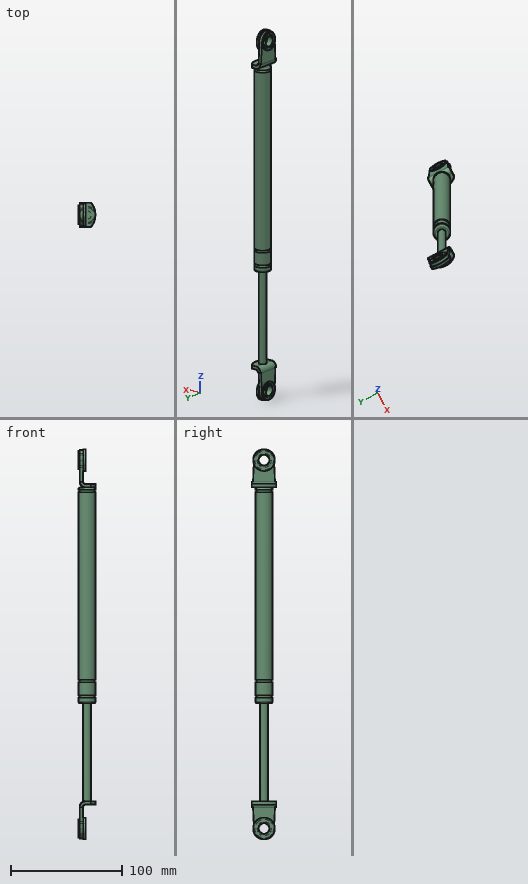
import cadquery as cq
import math

OVERALL_LENGTH = 350.0
TUBE_RADIUS = 7.7
ROD_RADIUS = 3.67

BORE_RADIUS = 4.72
SLEEVE_RADIUS = 6.3
OUTER_FLANGE_RADIUS = 8.5
INNER_FLANGE_RADIUS = 9.8
OUTER_FLANGE_THICKNESS = 1.0
INNER_FLANGE_THICKNESS = 2.5

SHEET = 3.0
BEND_INNER_RADIUS = 2.0
BEND_OUTER_RADIUS = BEND_INNER_RADIUS + SHEET
FOOT_WIDTH = 22.0
FOOT_ARC_START_X = 3.5
FOOT_TIP_X = TUBE_RADIUS
EYE_ROOT_WIDTH = 20.0
EYE_END_RADIUS = 9.0
PLATE_OUTER_X = OUTER_FLANGE_THICKNESS - TUBE_RADIUS
PLATE_INNER_X = PLATE_OUTER_X + SHEET
EYE_Z = OVERALL_LENGTH / 2 - INNER_FLANGE_RADIUS
FOOT_Z = 140.7
FOOT_TOP_Z = FOOT_Z + SHEET
BEND_TOP_Z = FOOT_Z + BEND_OUTER_RADIUS

TUBE_BOTTOM_Z = -53.0
END_ROUNDING = 1.7
GROOVE_RADIUS = 1.0
GROOVE_CENTRES_Z = (137.5, -33.0, -47.0)


def x_cylinder(radius, start_x, length):
    """Cylinder along +X on the eye axis."""
    return (
        cq.Workplane("YZ", origin=(start_x, 0, EYE_Z))
        .circle(radius)
        .extrude(length)
    )


def make_tube():
    tube = (
        cq.Workplane("XY", origin=(0, 0, TUBE_BOTTOM_Z))
        .circle(TUBE_RADIUS)
        .extrude(FOOT_Z - TUBE_BOTTOM_Z)
        .faces("<Z or >Z")
        .edges()
        .fillet(END_ROUNDING)
    )
    for groove_z in GROOVE_CENTRES_Z:
        ring = cq.Solid.makeTorus(TUBE_RADIUS, GROOVE_RADIUS, cq.Vector(0, 0, groove_z))
        tube = tube.cut(cq.Workplane(ring))
    return tube


def make_rod():
    return (
        cq.Workplane("XY", origin=(0, 0, -FOOT_Z))
        .circle(ROD_RADIUS)
        .extrude(TUBE_BOTTOM_Z + FOOT_Z)
    )


def make_foot():
    """Bend and foot at full width, with a bowed free edge."""
    bend_centre_x = PLATE_OUTER_X + BEND_OUTER_RADIUS
    diagonal = math.sqrt(0.5)
    bent_strip = (
        cq.Workplane("XZ")
        .moveTo(FOOT_TIP_X, FOOT_Z)
        .lineTo(bend_centre_x, FOOT_Z)
        .threePointArc(
            (bend_centre_x - BEND_OUTER_RADIUS * diagonal, BEND_TOP_Z - BEND_OUTER_RADIUS * diagonal),
            (PLATE_OUTER_X, BEND_TOP_Z),
        )
        .lineTo(PLATE_INNER_X, BEND_TOP_Z)
        .threePointArc(
            (bend_centre_x - BEND_INNER_RADIUS * diagonal, BEND_TOP_Z - BEND_INNER_RADIUS * diagonal),
            (bend_centre_x, FOOT_TOP_Z),
        )
        .lineTo(FOOT_TIP_X, FOOT_TOP_Z)
        .close()
        .extrude(FOOT_WIDTH / 2, both=True)
    )
    plan = (
        cq.Workplane("XY", origin=(0, 0, FOOT_Z))
        .moveTo(PLATE_OUTER_X, -FOOT_WIDTH / 2)
        .lineTo(FOOT_ARC_START_X, -FOOT_WIDTH / 2)
        .threePointArc((FOOT_TIP_X, 0), (FOOT_ARC_START_X, FOOT_WIDTH / 2))
        .lineTo(PLATE_OUTER_X, FOOT_WIDTH / 2)
        .close()
        .extrude(BEND_OUTER_RADIUS)
    )
    return bent_strip.intersect(plan)


def make_eye_plate():
    """Tapered plate with a round end."""
    return (
        cq.Workplane("YZ", origin=(PLATE_OUTER_X, 0, 0))
        .moveTo(-EYE_ROOT_WIDTH / 2, BEND_TOP_Z)
        .lineTo(-EYE_END_RADIUS, EYE_Z)
        .threePointArc((0, EYE_Z + EYE_END_RADIUS), (EYE_END_RADIUS, EYE_Z))
        .lineTo(EYE_ROOT_WIDTH / 2, BEND_TOP_Z)
        .close()
        .extrude(SHEET)
    )


def make_bracket():
    sleeve_hole = x_cylinder(SLEEVE_RADIUS, PLATE_OUTER_X, SHEET)
    return make_foot().union(make_eye_plate()).cut(sleeve_hole)


def make_bushing():
    outer_flange = x_cylinder(OUTER_FLANGE_RADIUS, -TUBE_RADIUS, OUTER_FLANGE_THICKNESS)
    sleeve = x_cylinder(SLEEVE_RADIUS, PLATE_OUTER_X, SHEET)
    inner_flange = x_cylinder(INNER_FLANGE_RADIUS, PLATE_INNER_X, INNER_FLANGE_THICKNESS)
    bushing_length = OUTER_FLANGE_THICKNESS + SHEET + INNER_FLANGE_THICKNESS
    bore = x_cylinder(BORE_RADIUS, -TUBE_RADIUS, bushing_length)
    return outer_flange.union(sleeve).union(inner_flange).cut(bore)


tube = make_tube()
rod = make_rod()

end_fittings = []
for make_fitting in (make_bracket, make_bushing):
    upper = make_fitting()
    lower = upper.mirror("XY")
    end_fittings += [upper.val(), lower.val()]

result = cq.Compound.makeCompound([tube.val(), rod.val(), *end_fittings])